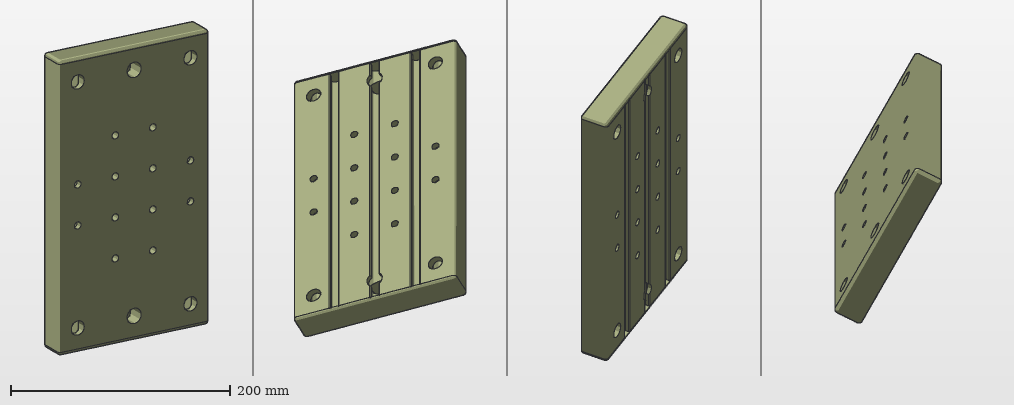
import cadquery as cq
import math

LENGTH = 288.0
WIDTH = 160.0
THICKNESS = 28.0
EDGE_RADIUS = 3.5
CAP_THICKNESS = EDGE_RADIUS
CORE_LENGTH = LENGTH - 2 * CAP_THICKNESS
CORE_END = CORE_LENGTH / 2

PITCH = 40.0
INNER_COLUMN = 0.5 * PITCH
OUTER_COLUMN = 1.5 * PITCH
INNER_ROW = 0.5 * PITCH
OUTER_ROW = 1.5 * PITCH
END_ROW = 3 * PITCH

CORNER_HOLE_DIAMETER = 13.8
CENTRE_HOLE_DIAMETER = 15.0
SMALL_HOLE_DIAMETER = 7.0

CHANNEL_CENTRES = (-PITCH, 0, PITCH)
MOUTH_WIDTH = 10.0
NECK_WIDTH = 8.0
NECK_DEPTH = 4.3
CAVITY_WIDTH = 20.0
FLOOR_WIDTH = 4.5
FLOOR_DEPTH = 12.7
FLOOR_CORNER_DIAMETER = 10.0
CAVITY_WALL_ANGLE = 48.0

LIP_DROP = 0.3
SHORT_LIP_REACH = 16.0
LONG_LIP_REACH = PITCH / 2

BORE_DIAMETER = 16.0


def rounded_block():
    """The whole outer shape, front face at x = 0 and every outer edge rounded."""
    block = cq.Workplane("XY").box(THICKNESS, WIDTH, LENGTH).translate((THICKNESS / 2, 0, 0))
    return block.edges().fillet(EDGE_RADIUS)


def slice_of_block(z_low, z_high):
    """The part of the outer shape between two heights."""
    slab = cq.Workplane("XY").box(2 * THICKNESS, 2 * WIDTH, z_high - z_low, centered=(True, True, False))
    return rounded_block().intersect(slab.translate((0, 0, z_low)))


def section_plane(x, y):
    """Plane at the lower end of the core, for outlines that run its whole length."""
    return cq.Workplane("XY", origin=(x, y, -CORE_END))


def floor_corner_point(turn):
    """Point (depth, half width) on the round corner of a channel, turned away from the floor."""
    radius = FLOOR_CORNER_DIAMETER / 2
    depth = FLOOR_DEPTH - radius * (1 - math.cos(turn))
    half_width = FLOOR_WIDTH / 2 + radius * math.sin(turn)
    return depth, half_width


def channel(y):
    """Cutter for one channel: bevelled mouth, straight neck and a cavity narrowing to its floor."""
    mouth = MOUTH_WIDTH / 2
    neck = NECK_WIDTH / 2
    cavity = CAVITY_WIDTH / 2
    floor = FLOOR_WIDTH / 2
    angle = math.radians(CAVITY_WALL_ANGLE)
    wall_end, wall_end_half = floor_corner_point(angle)
    corner_middle, corner_middle_half = floor_corner_point(angle / 2)
    wall_start = wall_end - (cavity - wall_end_half) * math.tan(angle)
    bevel_end = LIP_DROP + mouth - neck

    mouth_to_floor = [
        (0, mouth),
        (LIP_DROP, mouth),
        (bevel_end, neck),
        (NECK_DEPTH, neck),
        (NECK_DEPTH, cavity),
        (wall_start, cavity),
        (wall_end, wall_end_half),
    ]
    floor_to_mouth = [(x, -half_width) for x, half_width in reversed(mouth_to_floor)]
    outline = (
        section_plane(0, y)
        .polyline(mouth_to_floor)
        .threePointArc((corner_middle, corner_middle_half), (FLOOR_DEPTH, floor))
        .lineTo(FLOOR_DEPTH, -floor)
        .threePointArc((corner_middle, -corner_middle_half), floor_to_mouth[0])
    )
    for x, side in floor_to_mouth[1:]:
        outline = outline.lineTo(x, side)
    return outline.close().extrude(CORE_LENGTH)


def lip_slopes(y):
    """Shallow cutter that slopes the front face down to both sides of one channel mouth."""
    mouth = MOUTH_WIDTH / 2
    lower_reach = SHORT_LIP_REACH if y > 0 else LONG_LIP_REACH
    outline = section_plane(0, y).polyline(
        [(0, SHORT_LIP_REACH), (LIP_DROP, mouth), (LIP_DROP, -mouth), (0, -lower_reach)]
    )
    return outline.close().extrude(CORE_LENGTH)


def bore(y):
    """Cutter for one lengthwise bore."""
    return section_plane(THICKNESS / 2, y).circle(BORE_DIAMETER / 2).extrude(CORE_LENGTH)


def holes(diameter, columns, rows):
    """Cutters through the thickness where the given columns (y) and rows (z) cross."""
    points = [(y, z) for y in columns for z in rows]
    return cq.Workplane("YZ").pushPoints(points).circle(diameter / 2).extrude(THICKNESS)


def make_core():
    """Long channelled plate between the two end caps."""
    core = slice_of_block(-CORE_END, CORE_END)
    for y in CHANNEL_CENTRES:
        core = core.cut(channel(y)).cut(lip_slopes(y))

    outer_columns = (-OUTER_COLUMN, OUTER_COLUMN)
    for y in outer_columns:
        core = core.cut(bore(y))

    inner_columns = (-INNER_COLUMN, INNER_COLUMN)
    end_rows = (-END_ROW, END_ROW)
    inner_rows = (-INNER_ROW, INNER_ROW)
    core = core.cut(holes(CORNER_HOLE_DIAMETER, outer_columns, end_rows))
    core = core.cut(holes(CENTRE_HOLE_DIAMETER, (0,), end_rows))
    core = core.cut(holes(SMALL_HOLE_DIAMETER, outer_columns, inner_rows))
    core = core.cut(holes(SMALL_HOLE_DIAMETER, inner_columns, (-OUTER_ROW, *inner_rows, OUTER_ROW)))
    return core


def make_end_cap(z_low):
    """Thin cap with rounded outer edges that closes one end of the core."""
    return slice_of_block(z_low, z_low + CAP_THICKNESS)


core = make_core()
end_caps = [make_end_cap(z_low) for z_low in (-LENGTH / 2, CORE_END)]
result = cq.Compound.makeCompound([core.solids().val(), *[cap.solids().val() for cap in end_caps]])